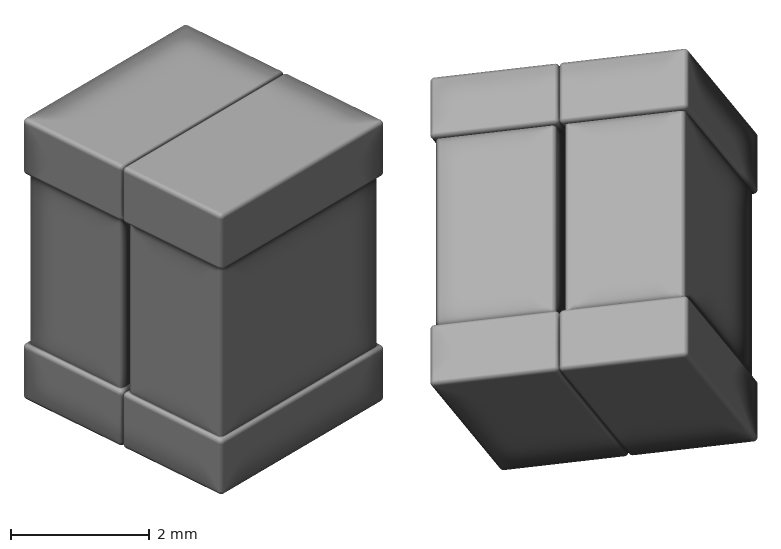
import cadquery as cq


overall_width = 3.9
overall_depth = 3.5
overall_height = 4.8
cap_height = 0.95
block_inset = 0.065
edge_radius = 0.065

chip_count = 2
chip_width = overall_width / chip_count
block_width = chip_width - 2 * block_inset
block_depth = overall_depth - 2 * block_inset
block_height = overall_height - 2 * cap_height
cap_offset = (overall_height - cap_height) / 2


def end_cap(x_center, z_center):
    """Metal end cap with every edge rounded."""
    return (
        cq.Workplane("XY")
        .box(chip_width, overall_depth, cap_height)
        .edges()
        .fillet(edge_radius)
        .translate((x_center, 0, z_center))
    )


def ceramic_block(x_center):
    """Ceramic block with rounded upright edges, filling the space between two end caps."""
    return (
        cq.Workplane("XY")
        .box(block_width, block_depth, block_height)
        .edges("|Z")
        .fillet(edge_radius)
        .translate((x_center, 0, 0))
    )


ceramic_blocks = []
end_caps = []
for chip in range(chip_count):
    chip_x = (chip + 0.5) * chip_width - overall_width / 2
    ceramic_blocks.append(ceramic_block(chip_x).val())
    for side in (-1, 1):
        end_caps.append(end_cap(chip_x, side * cap_offset).val())

result = cq.Compound.makeCompound([*ceramic_blocks, *end_caps])